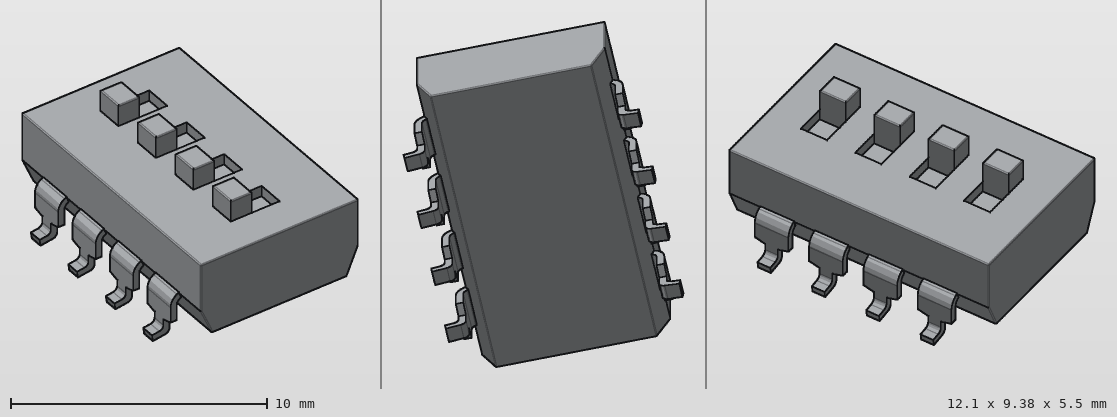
import cadquery as cq
import math

BODY_LENGTH = 12.14
BODY_WIDTH = 7.5
BODY_BOTTOM_WIDTH = 6.41
BODY_HEIGHT = 3.525
TAPER_HEIGHT = 1.27
BODY_EDGE_RADIUS = 0.05

SWITCH_COUNT = 4
SWITCH_PITCH = 2.54

WINDOW_LENGTH = 2.32
WINDOW_WIDTH = 1.22
WINDOW_DEPTH = 0.5
SLIDER_LENGTH = 1.0
SLIDER_RISE = 1.0
SLIDER_EDGE_RADIUS = 0.05

LEAD_SPAN = 9.38
LEAD_THICKNESS = 0.3
LEAD_WIDE = 1.58
LEAD_NARROW = 0.6
LEAD_STANDOFF = 0.4
LEAD_OUTER_FACE = BODY_WIDTH / 2 + LEAD_STANDOFF
ROOT_RISE = 0.04
ROOT_TOP = TAPER_HEIGHT + ROOT_RISE
SHOULDER_OUTER_RADIUS = 0.6
SHOULDER_INNER_RADIUS = SHOULDER_OUTER_RADIUS - LEAD_THICKNESS
LEAD_NECK_DROP = 0.125
ROOT_EMBED = 0.5
ROOT_SLOPE = math.radians(30)
FOOT_DROP = 0.975
FOOT_SLOPE = math.radians(8)
FOOT_CROOK_RADIUS = 0.22
FOOT_HEEL_RADIUS = 0.25

switch_positions = [(i - (SWITCH_COUNT - 1) / 2) * SWITCH_PITCH for i in range(SWITCH_COUNT)]


def make_body():
    """Housing with its underside at Z = 0 and its lower long walls tapered inward."""
    half_top = BODY_WIDTH / 2
    half_bottom = BODY_BOTTOM_WIDTH / 2
    section = [
        (-half_bottom, 0),
        (half_bottom, 0),
        (half_top, TAPER_HEIGHT),
        (half_top, BODY_HEIGHT),
        (-half_top, BODY_HEIGHT),
        (-half_top, TAPER_HEIGHT),
    ]
    body = cq.Workplane("YZ").polyline(section).close().extrude(BODY_LENGTH / 2, both=True)
    return body.faces("<X or >X or <Z or >Z").edges().fillet(BODY_EDGE_RADIUS)


def make_window(x):
    """Blind pocket in the top of the housing."""
    size = (WINDOW_WIDTH, WINDOW_LENGTH, WINDOW_DEPTH)
    return cq.Workplane("XY").box(*size).translate((x, 0, BODY_HEIGHT - WINDOW_DEPTH / 2))


def make_slider(x):
    """Knob at the -Y end of its window, standing on the window floor."""
    height = WINDOW_DEPTH + SLIDER_RISE
    center_y = (SLIDER_LENGTH - WINDOW_LENGTH) / 2
    center_z = BODY_HEIGHT + SLIDER_RISE - height / 2
    slider = cq.Workplane("XY").box(WINDOW_WIDTH, SLIDER_LENGTH, height)
    slider = slider.faces(">Z").edges().fillet(SLIDER_EDGE_RADIUS)
    return slider.translate((x, center_y, center_z))


def make_lead_strip():
    """Bent strip of the full lead width, on the +Y side at X = 0."""
    outer = LEAD_OUTER_FACE
    inner = outer - LEAD_THICKNESS

    root_fall = math.tan(ROOT_SLOPE)
    root_y = BODY_WIDTH / 2 - ROOT_EMBED
    root_top_z = ROOT_TOP + ROOT_EMBED * root_fall
    root_bottom_z = root_top_z - LEAD_THICKNESS / math.cos(ROOT_SLOPE)
    shoulder_outer_z = root_top_z - (outer - root_y) * root_fall
    shoulder_inner_z = root_bottom_z - (inner - root_y) * root_fall

    foot_fall = math.tan(FOOT_SLOPE)
    tip_top_y = LEAD_SPAN / 2
    tip_bottom_y = tip_top_y - LEAD_THICKNESS * math.sin(FOOT_SLOPE)
    tip_bottom_z = -FOOT_DROP
    tip_top_z = tip_bottom_z + LEAD_THICKNESS * math.cos(FOOT_SLOPE)
    crook_z = tip_top_z + (tip_top_y - outer) * foot_fall
    heel_z = tip_bottom_z + (tip_bottom_y - inner) * foot_fall

    section = (
        cq.Workplane("YZ", origin=(-LEAD_WIDE / 2, 0, 0))
        .moveTo(root_y, root_top_z)
        .lineTo(outer, shoulder_outer_z)
        .lineTo(outer, crook_z)
        .lineTo(tip_top_y, tip_top_z)
        .lineTo(tip_bottom_y, tip_bottom_z)
        .lineTo(inner, heel_z)
        .lineTo(inner, shoulder_inner_z)
        .lineTo(root_y, root_bottom_z)
        .close()
    )
    strip = section.extrude(LEAD_WIDE)

    bends = [
        (outer, shoulder_outer_z, SHOULDER_OUTER_RADIUS),
        (inner, shoulder_inner_z, SHOULDER_INNER_RADIUS),
        (outer, crook_z, FOOT_CROOK_RADIUS),
        (inner, heel_z, FOOT_HEEL_RADIUS),
    ]
    for y, z, radius in bends:
        corner = cq.selectors.NearestToPointSelector((0, y, z))
        strip = strip.edges("|X").edges(corner).fillet(radius)
    return strip


def make_lead():
    """Lead narrowed from its wide shoulder to its slim foot."""
    half_wide = LEAD_WIDE / 2
    half_narrow = LEAD_NARROW / 2
    outline = [
        (-half_wide, BODY_HEIGHT),
        (-half_wide, 0),
        (-half_narrow, -LEAD_NECK_DROP),
        (-half_narrow, -FOOT_DROP),
        (half_narrow, -FOOT_DROP),
        (half_narrow, -LEAD_NECK_DROP),
        (half_wide, 0),
        (half_wide, BODY_HEIGHT),
    ]
    blank = cq.Workplane("XZ").polyline(outline).close().extrude(-LEAD_SPAN)
    return make_lead_strip().intersect(blank)


result = make_body()
back_lead = make_lead()
front_lead = back_lead.mirror("XZ")
for x in switch_positions:
    result = result.cut(make_window(x)).union(make_slider(x))
    result = result.union(back_lead.translate((x, 0, 0)))
    result = result.union(front_lead.translate((x, 0, 0)))